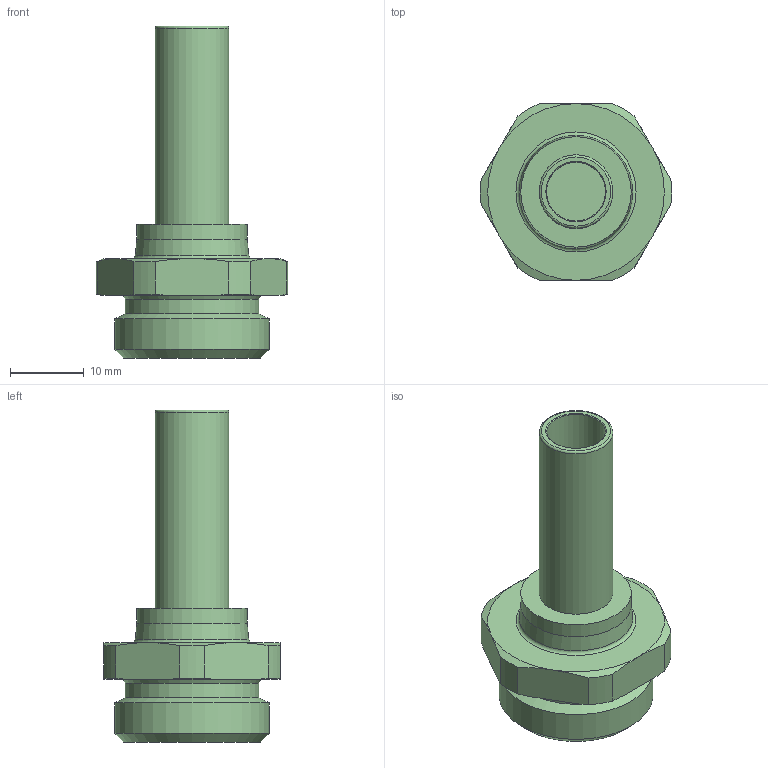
import cadquery as cq
import math

TOTAL_HEIGHT = 45.1
BODY_CHAMFER_TOP_Z = 1.2
BODY_TOP_Z = 5.3
NECK_BOTTOM_Z = 6.03
NECK_TOP_Z = 8.0
NUT_BOTTOM_Z = 8.5
NUT_HEIGHT = 5.0
NUT_TOP_Z = NUT_BOTTOM_Z + NUT_HEIGHT
COLLAR_FILLET_TOP_Z = 13.95
COLLAR_TAPER_TOP_Z = 16.15
COLLAR_TOP_Z = 18.15

BODY_RADIUS = 10.48
BODY_END_RADIUS = 9.3
NECK_RADIUS = 9.05
NECK_FLARE_RADIUS = 9.35
COLLAR_RADIUS = 7.5
COLLAR_BASE_RADIUS = 7.7
COLLAR_FILLET_RADIUS = 8.2
TUBE_RADIUS = 5.0
TUBE_EDGE_FILLET = 0.3

NUT_SIDES = 6
NUT_ACROSS_FLATS = 24.0
NUT_ACROSS_CORNERS = NUT_ACROSS_FLATS / math.cos(math.pi / NUT_SIDES)
NUT_CORNER_RADIUS = 13.0
NUT_TOP_CHAMFER_HEIGHT = 0.4
NUT_BOTTOM_CHAMFER_HEIGHT = 0.15
NUT_BOTTOM_CHAMFER_WIDTH = 0.6

BORE_RADIUS = 4.0
BORE_EDGE_CHAMFER = 0.1
BORE_FLOOR_Z = COLLAR_TOP_Z


def revolve_profile(profile):
    """Turn a closed (radius, height) outline about the Z axis."""
    return profile.close().revolve(360, (0, 0, 0), (0, 1, 0))


def make_body():
    """Threaded end, relief neck and the flare that meets the nut."""
    return revolve_profile(
        cq.Workplane("XZ")
        .lineTo(BODY_END_RADIUS, 0)
        .lineTo(BODY_RADIUS, BODY_CHAMFER_TOP_Z)
        .lineTo(BODY_RADIUS, BODY_TOP_Z)
        .lineTo(NECK_RADIUS, NECK_BOTTOM_Z)
        .lineTo(NECK_RADIUS, NECK_TOP_Z)
        .lineTo(NECK_FLARE_RADIUS, NUT_BOTTOM_Z)
        .lineTo(0, NUT_BOTTOM_Z)
    )


def make_nut():
    """Hexagon with two flats facing Y, trimmed by a chamfered round blank."""
    hexagon = (
        cq.Workplane("XY", origin=(0, 0, NUT_BOTTOM_Z))
        .polygon(NUT_SIDES, NUT_ACROSS_CORNERS)
        .extrude(NUT_HEIGHT)
    )
    blank = revolve_profile(
        cq.Workplane("XZ")
        .moveTo(0, NUT_BOTTOM_Z)
        .lineTo(NUT_CORNER_RADIUS - NUT_BOTTOM_CHAMFER_WIDTH, NUT_BOTTOM_Z)
        .lineTo(NUT_CORNER_RADIUS, NUT_BOTTOM_Z + NUT_BOTTOM_CHAMFER_HEIGHT)
        .lineTo(NUT_CORNER_RADIUS, NUT_TOP_Z - NUT_TOP_CHAMFER_HEIGHT)
        .lineTo(NUT_ACROSS_FLATS / 2, NUT_TOP_Z)
        .lineTo(0, NUT_TOP_Z)
    )
    return hexagon.intersect(blank)


def make_collar():
    """Slightly tapered collar that runs into the nut through a concave fillet."""
    fillet_width = COLLAR_FILLET_RADIUS - COLLAR_BASE_RADIUS
    fillet_height = COLLAR_FILLET_TOP_Z - NUT_TOP_Z
    inset = 1 - math.sqrt(0.5)
    fillet_middle = (COLLAR_BASE_RADIUS + inset * fillet_width, NUT_TOP_Z + inset * fillet_height)
    return revolve_profile(
        cq.Workplane("XZ")
        .moveTo(0, NUT_TOP_Z)
        .lineTo(COLLAR_FILLET_RADIUS, NUT_TOP_Z)
        .threePointArc(fillet_middle, (COLLAR_BASE_RADIUS, COLLAR_FILLET_TOP_Z))
        .lineTo(COLLAR_RADIUS, COLLAR_TAPER_TOP_Z)
        .lineTo(COLLAR_RADIUS, COLLAR_TOP_Z)
        .lineTo(0, COLLAR_TOP_Z)
    )


def make_tube():
    """Tube with rounded rim and a blind bore."""
    return revolve_profile(
        cq.Workplane("XZ")
        .moveTo(BORE_RADIUS, BORE_FLOOR_Z)
        .lineTo(TUBE_RADIUS, BORE_FLOOR_Z)
        .lineTo(TUBE_RADIUS, TOTAL_HEIGHT - TUBE_EDGE_FILLET)
        .radiusArc((TUBE_RADIUS - TUBE_EDGE_FILLET, TOTAL_HEIGHT), -TUBE_EDGE_FILLET)
        .lineTo(BORE_RADIUS + BORE_EDGE_CHAMFER, TOTAL_HEIGHT)
        .lineTo(BORE_RADIUS, TOTAL_HEIGHT - BORE_EDGE_CHAMFER)
    )


result = make_body().union(make_nut()).union(make_collar()).union(make_tube())